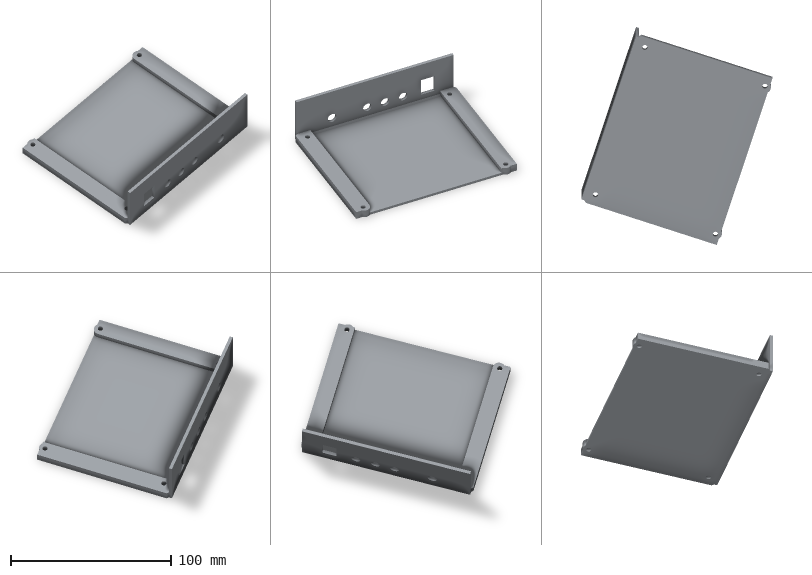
import cadquery as cq

length_x = 90.3
width_y = 111.6
height = 30.6

floor_thickness = 1.8
rail_height = 5.2
rail_width = 10.7
lug_projection = 1.0
lug_radius = 3.9
corner_chamfer = 1.2
wall_bevel_leg = 1.2

wall_thickness = 2.0
wall_width = width_y - 2 * corner_chamfer

screw_diameter = 3.2
screw_offset_y = 49.5
front_far_screw_y = -49.1
far_screw_x = 37.7

round_hole_height = 9.6
round_holes = [(29.9, 6.0), (5.5, 5.7), (-6.9, 5.7), (-19.5, 5.7)]
window_width = 9.4
window_height = 11.5
window_center_y = -36.7
window_bottom = 6.8

lug_tip_x = -length_x / 2
tray_start_x = lug_tip_x + lug_projection
lug_x = lug_tip_x + lug_radius
wall_outer_x = length_x / 2
wall_inner_x = wall_outer_x - wall_thickness
tray_length = wall_inner_x - tray_start_x
rail_inner_y = width_y / 2 - rail_width


def box(start_x, size_x, center_y, size_y, size_z):
    """Box standing on the underside plane."""
    return (
        cq.Workplane("XY")
        .box(size_x, size_y, size_z, centered=(False, True, False))
        .translate((start_x, center_y, 0))
    )


def cylinder(x, y, diameter, size_z):
    """Vertical cylinder standing on the underside plane."""
    return cq.Workplane("XY").center(x, y).circle(diameter / 2).extrude(size_z)


def make_tray():
    """Floor and side rails with bevelled corners next to the wall."""
    rail_center_y = (width_y / 2 + rail_inner_y) / 2
    floor = box(tray_start_x, tray_length, 0, width_y, floor_thickness)
    front_rail = box(tray_start_x, tray_length, -rail_center_y, rail_width, rail_height)
    back_rail = box(tray_start_x, tray_length, rail_center_y, rail_width, rail_height)

    lug_y = rail_inner_y + lug_radius
    end_block = (
        box(tray_start_x, lug_x - tray_start_x, (rail_inner_y + lug_y) / 2, lug_radius, rail_height)
        .cut(cylinder(lug_x, lug_y, 2 * lug_radius, rail_height))
    )
    back_rail = back_rail.cut(end_block)

    tray = floor.union(front_rail).union(back_rail)
    return tray.edges("|Z and >X").edges("<Y or >Y").chamfer(corner_chamfer)


def make_wall():
    """Upright wall with its round holes and rectangular window."""
    wall = box(wall_inner_x, wall_thickness, 0, wall_width, height)
    for y, diameter in round_holes:
        hole = (
            cq.Workplane("YZ", origin=(wall_inner_x, 0, 0))
            .center(y, round_hole_height)
            .circle(diameter / 2)
            .extrude(wall_thickness)
        )
        wall = wall.cut(hole)
    window = box(wall_inner_x, wall_thickness, window_center_y, window_width, window_height)
    return wall.cut(window.translate((0, 0, window_bottom)))


def make_wall_bevel():
    """Triangular strip joining the floor to the wall between the rails."""
    return (
        cq.Workplane("XZ", origin=(0, rail_inner_y, 0))
        .moveTo(wall_inner_x, floor_thickness)
        .lineTo(wall_inner_x - wall_bevel_leg, floor_thickness)
        .lineTo(wall_inner_x, floor_thickness + wall_bevel_leg)
        .close()
        .extrude(2 * rail_inner_y)
    )


result = make_tray().union(make_wall()).union(make_wall_bevel())

for lug_y in (-rail_inner_y - lug_radius, rail_inner_y + lug_radius):
    result = result.union(cylinder(lug_x, lug_y, 2 * lug_radius, rail_height))

screw_positions = [
    (lug_x, -screw_offset_y),
    (lug_x, screw_offset_y),
    (far_screw_x, front_far_screw_y),
    (far_screw_x, screw_offset_y),
]
for x, y in screw_positions:
    result = result.cut(cylinder(x, y, screw_diameter, rail_height))